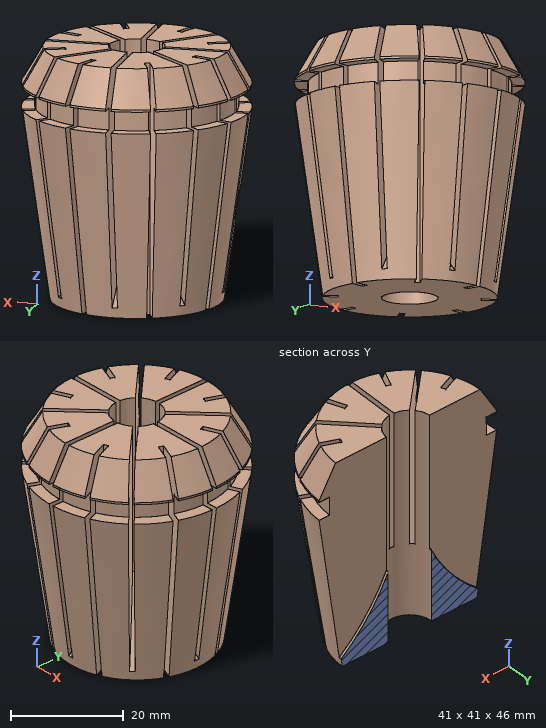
import cadquery as cq
import math

height = 46.0
max_radius = 20.5
bore_radius = 5.0
body_taper = 8.0
head_taper = 30.0
groove_bottom = 35.0
groove_top = 39.0
groove_radius = 18.1
rim_height = 0.4

slit_count = 8
slit_width = 1.0
top_slit_outer_floor = 1.9
top_slit_inner_floor = 16.1
top_slit_floor_radius = 40.0
full_slit_inner_radius = 12.75

slit_pitch = 360.0 / slit_count
cutter_overrun = 1.0
slit_reach = max_radius + cutter_overrun
slit_top = height + cutter_overrun


def body_radius(z):
    """Outer radius of the tapered body at height z."""
    return max_radius - (groove_bottom - z) * math.tan(math.radians(body_taper))


def make_body():
    rim_top = groove_top + rim_height
    head_radius = max_radius - (height - rim_top) * math.tan(math.radians(head_taper))
    profile = [
        (bore_radius, 0),
        (body_radius(0), 0),
        (max_radius, groove_bottom),
        (groove_radius, groove_bottom),
        (groove_radius, groove_top),
        (max_radius, groove_top),
        (max_radius, rim_top),
        (head_radius, height),
        (bore_radius, height),
    ]
    return cq.Workplane("XZ").polyline(profile).close().revolve(360, (0, 0), (0, 1))


def make_top_slit():
    """Cutter along +X, open at the top, with a concave floor rising to the bore."""
    inner = (bore_radius, top_slit_inner_floor)
    outer = (body_radius(top_slit_outer_floor), top_slit_outer_floor)
    run = outer[0] - inner[0]
    drop = inner[1] - outer[1]
    chord = math.hypot(run, drop)
    sag = top_slit_floor_radius - math.sqrt(top_slit_floor_radius**2 - (chord / 2) ** 2)
    middle = (
        (inner[0] + outer[0]) / 2 - sag * drop / chord,
        (inner[1] + outer[1]) / 2 - sag * run / chord,
    )
    return (
        cq.Workplane("XZ")
        .moveTo(0, top_slit_inner_floor)
        .lineTo(*inner)
        .threePointArc(middle, outer)
        .lineTo(slit_reach, top_slit_outer_floor)
        .lineTo(slit_reach, slit_top)
        .lineTo(0, slit_top)
        .close()
        .extrude(slit_width / 2, both=True)
    )


def make_full_slit():
    """Cutter along +X, through the full height, stopping short of the bore."""
    length = slit_reach - full_slit_inner_radius
    return (
        cq.Workplane("XY")
        .center(full_slit_inner_radius + length / 2, 0)
        .rect(length, slit_width)
        .extrude(height)
    )


def cut_around(part, cutter, first_angle):
    """Cut one slit set, evenly spaced about Z."""
    for i in range(slit_count):
        angle = first_angle + i * slit_pitch
        part = part.cut(cutter.rotate((0, 0, 0), (0, 0, 1), angle))
    return part


result = make_body()
result = cut_around(result, make_top_slit(), 0)
result = cut_around(result, make_full_slit(), slit_pitch / 2)